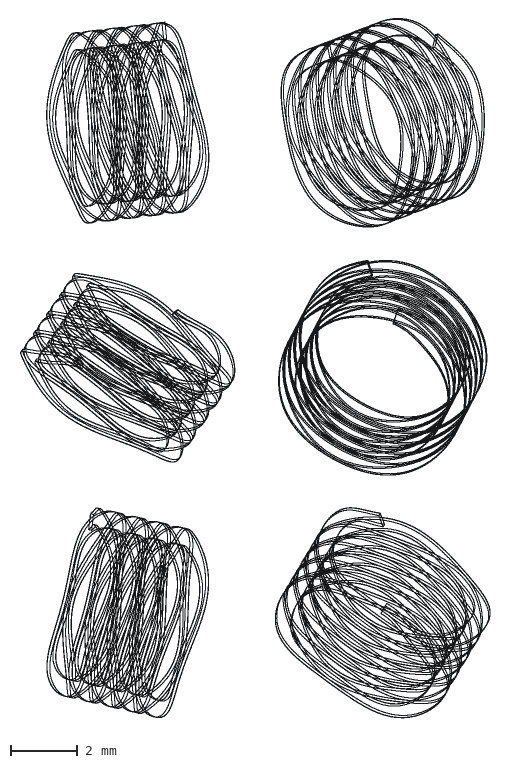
import cadquery as cq
import math

outer_radius = 2.85
strip_width = 0.51
strip_thickness = 0.095
total_climb = 3.2
turns = 9
waves_per_turn = 3.5
end_setback = 16.5
contact_gap = 0.002
samples_per_wave = 12

pitch = total_climb / turns
inner_radius = outer_radius - strip_width
half_thickness = strip_thickness / 2
amplitude = (pitch - strip_thickness - contact_gap) / 2
first_angle = end_setback
last_angle = 360 * turns - end_setback
half_wave = 180 / waves_per_turn
end_half_wave = half_wave - end_setback

section_corners = [
    (inner_radius, -half_thickness),
    (outer_radius, -half_thickness),
    (outer_radius, half_thickness),
    (inner_radius, half_thickness),
]


def wave_phase(angle):
    """Phase of the wave in degrees; the last half wave at each end is squeezed to finish on a crest."""
    from_nearer_end = min(angle - first_angle, last_angle - angle)
    if from_nearer_end < end_half_wave:
        return 180 * from_nearer_end / end_half_wave
    return 180 + waves_per_turn * (from_nearer_end - end_half_wave)


def strip_height(angle):
    """Mid-thickness Y of the strip at a winding angle in degrees."""
    climb = pitch * (angle / 360 - turns / 2)
    wave = amplitude * math.cos(math.radians(wave_phase(angle)))
    in_first_half = angle < 180 * turns
    return climb + (wave if in_first_half else -wave)


def strip_point(angle, radius, offset):
    """Point on the strip at a winding angle, a radius and an offset along Y."""
    turn = math.radians(angle)
    return cq.Vector(radius * math.sin(turn), strip_height(angle) + offset, radius * math.cos(turn))


def strip_edge(radius, offset):
    """One of the four long edges of the strip."""
    span = last_angle - first_angle
    steps = round(span / 360 * waves_per_turn * samples_per_wave)
    angles = [first_angle + span * i / steps for i in range(steps + 1)]
    points = [strip_point(angle, radius, offset) for angle in angles]
    return cq.Edge.makeSpline(points, parameters=angles)


def end_face(angle):
    """Flat radial face that closes the strip."""
    corners = [strip_point(angle, radius, offset) for radius, offset in section_corners]
    return cq.Face.makeFromWires(cq.Wire.makePolygon(corners, close=True))


long_edges = [strip_edge(radius, offset) for radius, offset in section_corners]
faces = [
    cq.Face.makeRuledSurface(edge, following)
    for edge, following in zip(long_edges, long_edges[1:] + long_edges[:1])
]
faces += [end_face(first_angle), end_face(last_angle)]

spring = cq.Solid.makeSolid(cq.Shell.makeShell(faces))
result = cq.Workplane("XY").newObject([spring.fix()])